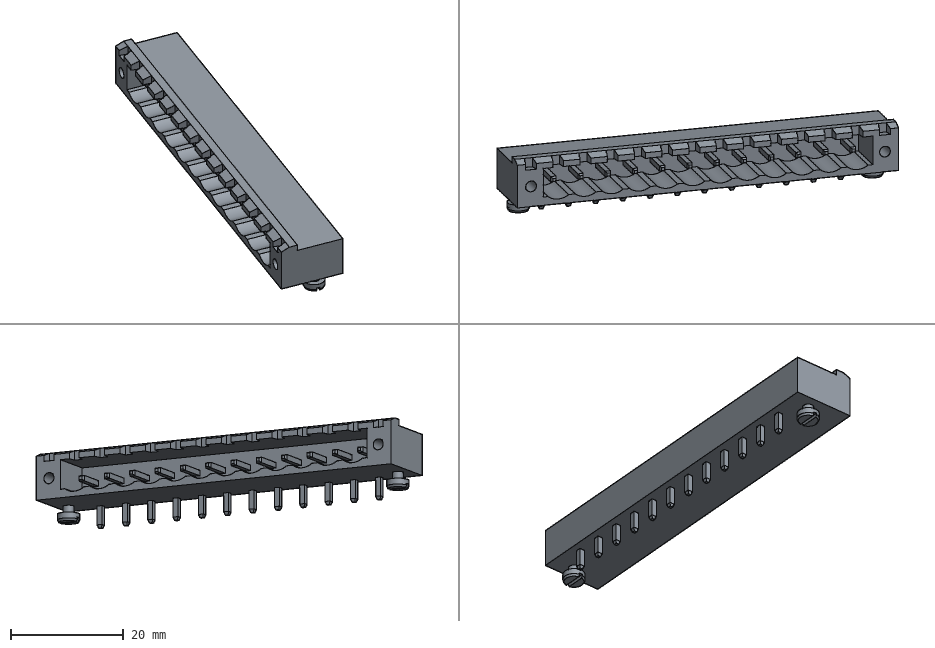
import cadquery as cq


length = 71.1
depth = 12.0
height = 8.6
rear_height = 7.5
lip_depth = 3.1
lip_bevel_depth = 1.6
lip_bevel_drop = 0.65

contact_count = 12
pitch = 5.08
contact_z = 3.8
pin_size = 1.0
pin_tip_size = 0.6
pin_taper = 0.6
pin_front_y = 2.35
pin_leg_y = 10.2
pin_leg_drop = 4.0

cavity_half_length = 30.7
cavity_depth = 8.4
cavity_floor = 1.6
cavity_ceiling = 6.9
scallop_half_width = 1.9
scallop_sag = 0.65

slot_front_width = 2.0
slot_back_width = 1.5

hole_diameter = 2.0
hole_depth = 5.7
screw_y = 7.55
shank_diameter = 2.0
shank_length = 1.4
head_diameter = 4.0
head_height = 1.5
head_chamfer_height = 0.4
head_chamfer_inset = 0.2
driver_slot_width = 0.65
driver_slot_depth = 0.7

contact_xs = [(i - (contact_count - 1) / 2) * pitch for i in range(contact_count)]
flange_x = (contact_count + 1) / 2 * pitch
flange_xs = [-flange_x, flange_x]


def make_housing():
    """Stepped block with a raised, bevelled lip along the front edge."""
    return (
        cq.Workplane("YZ")
        .polyline([
            (0, 0),
            (depth, 0),
            (depth, rear_height),
            (lip_depth, rear_height),
            (lip_depth, height),
            (lip_bevel_depth, height),
            (0, height - lip_bevel_drop),
        ])
        .close()
        .extrude(length / 2, both=True)
    )


def make_cavity():
    """Front opening whose floor dips in a shallow arc below each contact."""
    outline = (
        cq.Workplane("XZ")
        .moveTo(-cavity_half_length, cavity_ceiling)
        .lineTo(-cavity_half_length, cavity_floor)
    )
    for x in contact_xs:
        outline = (
            outline.lineTo(x - scallop_half_width, cavity_floor)
            .threePointArc(
                (x, cavity_floor - scallop_sag),
                (x + scallop_half_width, cavity_floor),
            )
        )
    return (
        outline.lineTo(cavity_half_length, cavity_floor)
        .lineTo(cavity_half_length, cavity_ceiling)
        .close()
        .extrude(-cavity_depth)
    )


def make_key_slot(x):
    """Vertical slot in the lip, narrowing from the front face to its back wall."""
    front_half = slot_front_width / 2
    back_half = slot_back_width / 2
    return (
        cq.Workplane("XY", origin=(x, 0, cavity_ceiling))
        .polyline([
            (-front_half, 0),
            (front_half, 0),
            (back_half, lip_bevel_depth),
            (-back_half, lip_bevel_depth),
        ])
        .close()
        .extrude(height - cavity_ceiling)
    )


def make_bar(plane, bar_length):
    """Square bar along the plane normal, ending in a blunt tapered tip."""
    shaft_length = bar_length - pin_taper
    shaft = cq.Workplane(plane).rect(pin_size, pin_size).extrude(shaft_length)
    tip = (
        cq.Workplane(plane)
        .workplane(offset=shaft_length)
        .rect(pin_size, pin_size)
        .workplane(offset=pin_taper)
        .rect(pin_tip_size, pin_tip_size)
        .loft()
    )
    return shaft.union(tip)


def make_contact(x):
    """Right-angle pin: forward arm in the cavity and solder leg below the housing."""
    corner = (x, pin_leg_y, contact_z)
    forward = cq.Plane(origin=corner, xDir=(1, 0, 0), normal=(0, -1, 0))
    downward = cq.Plane(origin=corner, xDir=(1, 0, 0), normal=(0, 0, -1))
    arm = make_bar(forward, pin_leg_y - pin_front_y)
    leg = make_bar(downward, contact_z + pin_leg_drop)
    return arm.union(leg)


def make_flange_hole(x):
    """Blind hole in the front face beside the cavity."""
    return cq.Workplane("XZ", origin=(x, 0, contact_z)).circle(hole_diameter / 2).extrude(-hole_depth)


def make_screw(x):
    """Slotted screw whose head hangs below the housing."""
    head_bottom = -shank_length - head_height
    shank = cq.Workplane("XY", origin=(x, screw_y, 0)).circle(shank_diameter / 2).extrude(-shank_length)
    head = (
        cq.Workplane("XY", origin=(x, screw_y, -shank_length))
        .circle(head_diameter / 2)
        .extrude(-head_height)
        .faces("<Z")
        .chamfer(head_chamfer_height, head_chamfer_inset)
    )
    driver_slot = (
        cq.Workplane("XY", origin=(x, screw_y, head_bottom))
        .rect(head_diameter, driver_slot_width)
        .extrude(driver_slot_depth)
    )
    return shank.union(head.cut(driver_slot))


result = make_housing().cut(make_cavity())

for x in contact_xs + flange_xs:
    result = result.cut(make_key_slot(x))

for x in contact_xs:
    result = result.union(make_contact(x))

for x in flange_xs:
    result = result.cut(make_flange_hole(x)).union(make_screw(x))